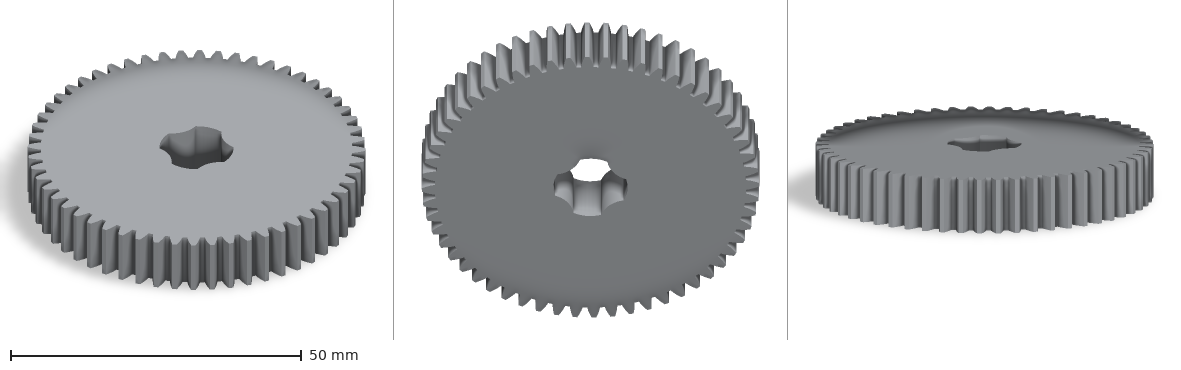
import cadquery as cq
import math

TOOTH_COUNT = 56
OUTER_DIAMETER = 58.0
THICKNESS = 9.4
PRESSURE_ANGLE = math.radians(20)
DEDENDUM_FACTOR = 1.25
FLANK_POINTS = 6

BORE_RADIUS = 6.4
LOBE_RADIUS = 4.9
LOBE_CLEARANCE = 5.15
LOBE_COUNT = 4

MODULE = OUTER_DIAMETER / (TOOTH_COUNT + 2)
OUTER_RADIUS = OUTER_DIAMETER / 2
PITCH_RADIUS = MODULE * TOOTH_COUNT / 2
BASE_RADIUS = PITCH_RADIUS * math.cos(PRESSURE_ANGLE)
ROOT_RADIUS = PITCH_RADIUS - DEDENDUM_FACTOR * MODULE
TOOTH_PITCH = 2 * math.pi / TOOTH_COUNT


def polar(radius, angle):
    return (radius * math.cos(angle), radius * math.sin(angle))


def involute(angle):
    return math.tan(angle) - angle


def half_tooth_angle(radius):
    """Angle from the tooth's centreline to its flank at the given radius."""
    flank_angle = math.acos(BASE_RADIUS / radius)
    return TOOTH_PITCH / 4 + involute(PRESSURE_ANGLE) - involute(flank_angle)


def gear_blank():
    radial_step = (OUTER_RADIUS - ROOT_RADIUS) / (FLANK_POINTS - 1)
    flank_radii = [ROOT_RADIUS + i * radial_step for i in range(FLANK_POINTS)]
    outline = cq.Workplane("XY").moveTo(*polar(ROOT_RADIUS, -half_tooth_angle(ROOT_RADIUS)))
    for tooth in range(TOOTH_COUNT):
        centre = tooth * TOOTH_PITCH
        rising = [polar(r, centre - half_tooth_angle(r)) for r in flank_radii]
        falling = [polar(r, centre + half_tooth_angle(r)) for r in reversed(flank_radii)]
        next_root = centre + TOOTH_PITCH - half_tooth_angle(ROOT_RADIUS)
        outline = outline.spline(rising[1:], includeCurrent=True)
        outline = outline.threePointArc(polar(OUTER_RADIUS, centre), falling[0])
        outline = outline.spline(falling[1:], includeCurrent=True)
        outline = outline.threePointArc(
            polar(ROOT_RADIUS, centre + TOOTH_PITCH / 2), polar(ROOT_RADIUS, next_root)
        )
    return outline.close().extrude(THICKNESS)


def lobed_bore():
    lobes = (
        cq.Workplane("XY")
        .polarArray(LOBE_CLEARANCE + LOBE_RADIUS, 0, 360, LOBE_COUNT)
        .circle(LOBE_RADIUS)
        .extrude(THICKNESS)
    )
    return cq.Workplane("XY").circle(BORE_RADIUS).extrude(THICKNESS).cut(lobes)


result = gear_blank().cut(lobed_bore())